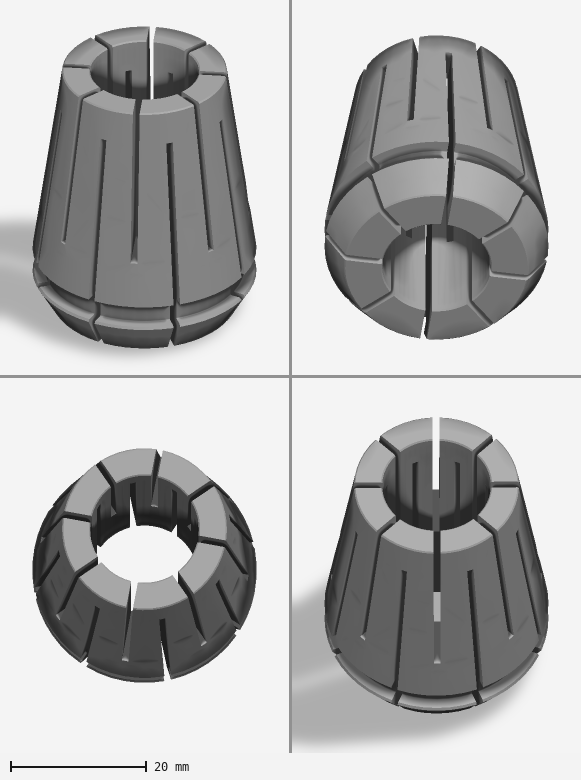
import cadquery as cq
import math

length = 40.0
max_diameter = 32.95
bore_diameter = 16.0
taper_angle = 8

cone_base = 9.05
groove_base = 5.5
flange_rim = 5.1

groove_diameter = 29.3
nose_angle = 30.0
edge_break = 0.2
rim_bevel = 0.25
groove_fillet = 0.15

slots_per_set = 8
slot_width = 1.0
lower_slot_top = 35.0
upper_slot_bottom = 16.0

max_radius = max_diameter / 2
bore_radius = bore_diameter / 2
groove_radius = groove_diameter / 2
slot_pitch = 360 / slots_per_set

top_radius = max_radius - (length - cone_base) * math.tan(math.radians(taper_angle))
nose_slope = math.tan(math.radians(nose_angle))
nose_radius = max_radius - flange_rim * nose_slope
nose_break_radius = nose_radius + edge_break * nose_slope
fillet_mid = groove_fillet * (1 - math.sqrt(0.5))


def collet_body():
    """Revolved collet: bore, flange, extraction groove and clamping cone."""
    profile = (
        cq.Workplane("XZ")
        .moveTo(bore_radius + edge_break, 0)
        .lineTo(nose_break_radius - edge_break, 0)
        .lineTo(nose_break_radius, edge_break)
        .lineTo(max_radius, flange_rim)
        .lineTo(max_radius - rim_bevel, groove_base)
        .lineTo(groove_radius + groove_fillet, groove_base)
        .threePointArc(
            (groove_radius + fillet_mid, groove_base + fillet_mid),
            (groove_radius, groove_base + groove_fillet),
        )
        .lineTo(groove_radius, cone_base - groove_fillet)
        .threePointArc(
            (groove_radius + fillet_mid, cone_base - fillet_mid),
            (groove_radius + groove_fillet, cone_base),
        )
        .lineTo(max_radius, cone_base)
        .lineTo(top_radius, length - edge_break)
        .lineTo(top_radius - edge_break, length)
        .lineTo(bore_radius + edge_break, length)
        .lineTo(bore_radius, length - edge_break)
        .lineTo(bore_radius, edge_break)
        .close()
    )
    return profile.revolve(360, (0, 0, 0), (0, 1, 0))


def slot_set(bottom, top, first_angle):
    """Ring of radial slots between two heights, running from the bore outwards."""
    slots = cq.Workplane("XY")
    for index in range(slots_per_set):
        slot = (
            cq.Workplane("XY", origin=(0, 0, bottom))
            .rect(max_diameter, slot_width)
            .extrude(top - bottom)
            .translate((max_radius, 0, 0))
            .rotate((0, 0, 0), (0, 0, 1), first_angle + index * slot_pitch)
        )
        slots = slots.add(slot)
    return slots.combine()


lower_slots = slot_set(0, lower_slot_top, 0)
upper_slots = slot_set(upper_slot_bottom, length, slot_pitch / 2)

result = collet_body().cut(lower_slots).cut(upper_slots)